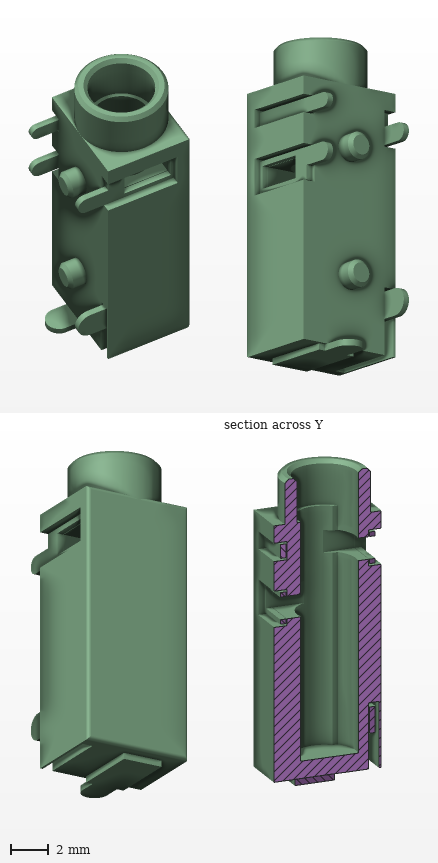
import cadquery as cq


block_width = 6.2
block_depth = 5.0
block_height = 14.45
back_edge_radius = 0.2
right_x = block_width / 2
back_y = block_depth / 2
front_y = -block_depth / 2

collar_radius = block_depth / 2
collar_height = 2.5
rim_chamfer = 0.2
collar_top_z = block_height + collar_height
bore_radius = 1.8
bore_floor_thickness = 1.0
throat_radius = 1.6
throat_top_z = block_height
relief_width = 2.49

peg_radius = 0.75
peg_length = 1.0
peg_chamfer = 0.2
peg_pitch = 7.0
upper_peg_z = block_height - 3.5

sheet = 0.35
outer_gap = 0.36
blade_reach = 1.61
terminal_back_y = back_y - 0.8
plate_front_y = front_y + 0.2
blade_tip_y = front_y - blade_reach
terminal_x = right_x - outer_gap - sheet / 2

pocket_depth = 0.75
pocket_clearance = 0.1
upper_pocket_top_z = block_height - 1.0
narrow_pocket_height = 1.0
wide_pocket_height = 2.0
left_wide_pocket_top_z = block_height - 3.7
left_wide_z = left_wide_pocket_top_z - wide_pocket_height / 2
right_wide_z = upper_pocket_top_z - wide_pocket_height / 2
left_narrow_z = upper_pocket_top_z - narrow_pocket_height / 2

plate_height = wide_pocket_height - 2 * pocket_clearance
plate_blade_width = 1.0
window_height = 1.25
window_back_y = back_y - 1.0
window_front_y = window_back_y - 2.82

narrow_blade_width = narrow_pocket_height - 2 * pocket_clearance
wide_blade_width = 1.5
wide_blade_z = 2.75
low_pocket_height = 3.72
low_pocket_skin = 0.15

bottom_plate_width = 2.3
bottom_terminal_x = -0.75


def box_between(x_range, y_range, z_range):
    """Box that spans the three given (low, high) ranges."""
    size = [high - low for low, high in (x_range, y_range, z_range)]
    low_corner = (x_range[0], y_range[0], z_range[0])
    return cq.Workplane("XY").box(*size, centered=False).translate(low_corner)


def blade(width):
    """Blade lying flat about Z = 0, centred on X = 0, that ends in a half-round tip."""
    half = width / 2
    shoulder_y = blade_tip_y + half
    return (
        cq.Workplane("XY", origin=(0, 0, -sheet / 2))
        .moveTo(half, terminal_back_y)
        .lineTo(half, shoulder_y)
        .threePointArc((0, blade_tip_y), (-half, shoulder_y))
        .lineTo(-half, terminal_back_y)
        .close()
        .extrude(sheet)
    )


def stand_on_edge(flat_terminal):
    """Turn a flat terminal so that its width runs along Z and its faces look along X."""
    return flat_terminal.rotate((0, 0, 0), (0, 1, 0), 90)


def flat_plate(width):
    """Rectangular terminal plate lying flat about Z = 0."""
    half = width / 2
    return box_between((-half, half), (plate_front_y, terminal_back_y), (-sheet / 2, sheet / 2))


def side_window(x_range, z_center):
    """Rectangular opening that passes through a side plate and the housing wall behind it."""
    z_range = (z_center - window_height / 2, z_center + window_height / 2)
    return box_between(x_range, (window_front_y, window_back_y), z_range)


def make_block():
    """Rectangular block with its four back edges rounded."""
    return (
        cq.Workplane("XY")
        .box(block_width, block_depth, block_height, centered=(True, True, False))
        .faces(">Y")
        .edges()
        .fillet(back_edge_radius)
    )


def make_collar():
    """Collar with a chamfered rim; it reaches down into the block to meet the rounded back edge."""
    return (
        cq.Workplane("XY", origin=(0, 0, block_height - back_edge_radius))
        .circle(collar_radius)
        .extrude(collar_height + back_edge_radius)
        .faces(">Z")
        .chamfer(rim_chamfer)
    )


def make_pegs():
    pegs = cq.Workplane("XZ", origin=(0, front_y, 0))
    return (
        pegs.pushPoints([(0, upper_peg_z), (0, upper_peg_z - peg_pitch)])
        .circle(peg_radius)
        .extrude(peg_length)
        .faces("<Y")
        .chamfer(peg_chamfer)
    )


def make_bore():
    """Stepped bore with a countersunk mouth and a full-radius relief on the right of its throat."""
    mouth = cq.Workplane("XY", origin=(0, 0, throat_top_z)).circle(bore_radius)
    mouth = mouth.extrude(collar_top_z - throat_top_z)
    countersink = (
        cq.Workplane("XY", origin=(0, 0, collar_top_z))
        .circle(bore_radius + rim_chamfer)
        .workplane(offset=-rim_chamfer)
        .circle(bore_radius)
        .loft(ruled=True)
    )
    throat_length = throat_top_z - bore_floor_thickness
    floor = cq.Workplane("XY", origin=(0, 0, bore_floor_thickness))
    throat = floor.circle(throat_radius).extrude(throat_length)
    relief_strip = box_between(
        (0, bore_radius),
        (-relief_width / 2, relief_width / 2),
        (bore_floor_thickness, throat_top_z),
    )
    relief = floor.circle(bore_radius).extrude(throat_length).intersect(relief_strip)
    return mouth.union(countersink).union(throat).union(relief)


def side_pocket(side, z_center, height):
    """Pocket open to the front and to one side; side is -1 for left and 1 for right."""
    x_range = sorted((side * right_x, side * (right_x - pocket_depth)))
    z_range = (z_center - height / 2, z_center + height / 2)
    return box_between(x_range, (front_y, terminal_back_y), z_range)


def make_housing():
    housing = make_block().union(make_collar()).union(make_pegs()).cut(make_bore())
    housing = housing.cut(side_pocket(-1, left_narrow_z, narrow_pocket_height))
    for side, z_center in ((-1, left_wide_z), (1, right_wide_z)):
        housing = housing.cut(side_pocket(side, z_center, wide_pocket_height))
        opening_x = sorted((0, side * right_x))
        housing = housing.cut(side_window(opening_x, z_center))
    low_pocket = box_between(
        (right_x - pocket_depth, right_x - low_pocket_skin),
        (front_y, terminal_back_y),
        (0, low_pocket_height),
    )
    return housing.cut(low_pocket)


def make_plate_terminal(side, z_center):
    """Windowed side plate; its blade is along the upper edge on the left, the lower on the right."""
    blade_z = -side * (plate_height - plate_blade_width) / 2
    plate = stand_on_edge(flat_plate(plate_height))
    contact = stand_on_edge(blade(plate_blade_width)).translate((0, 0, blade_z))
    terminal = plate.union(contact).cut(side_window((-sheet, sheet), 0))
    return terminal.translate((side * terminal_x, 0, z_center))


def make_blade_terminal(side, z_center, width):
    """Straight side blade without a plate."""
    return stand_on_edge(blade(width)).translate((side * terminal_x, 0, z_center))


def make_bottom_terminal():
    terminal = flat_plate(bottom_plate_width).union(blade(wide_blade_width))
    return terminal.translate((bottom_terminal_x, 0, -sheet / 2))


housing = make_housing()
plate_terminals = [
    make_plate_terminal(side, z_center) for side, z_center in ((-1, left_wide_z), (1, right_wide_z))
]
narrow_blade = make_blade_terminal(-1, left_narrow_z, narrow_blade_width)
wide_blade = make_blade_terminal(1, wide_blade_z, wide_blade_width)
bottom_terminal = make_bottom_terminal()

result = cq.Compound.makeCompound(
    [
        housing.val(),
        *[terminal.val() for terminal in plate_terminals],
        narrow_blade.val(),
        wide_blade.val(),
        bottom_terminal.val(),
    ]
)